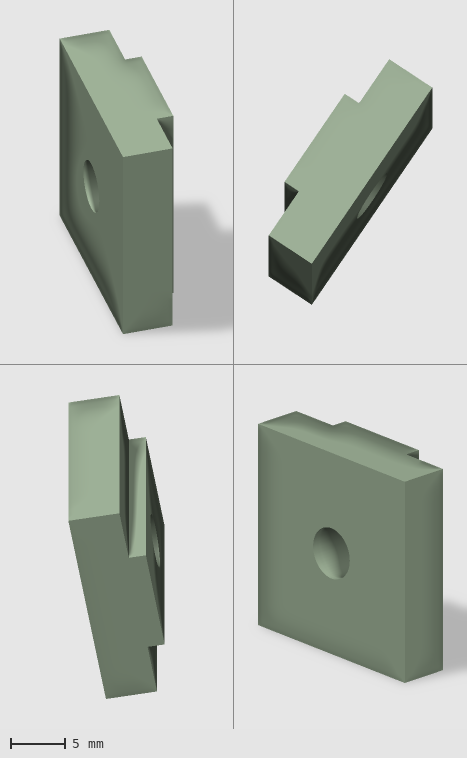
import cadquery as cq

plate_side = 20.0
plate_thickness = 4.8

rib_width = plate_side / 2
rib_depth = 1.6
total_depth = plate_thickness + rib_depth

hole_diameter = plate_side / 4

plate = cq.Workplane("XY").box(
    plate_side, plate_thickness, plate_side, centered=(True, False, True)
)

rib = (
    cq.Workplane("XY")
    .box(rib_width, rib_depth, plate_side, centered=(True, False, True))
    .translate((0, plate_thickness, 0))
)

hole = cq.Workplane("XZ").circle(hole_diameter / 2).extrude(-total_depth)

result = plate.union(rib).cut(hole)